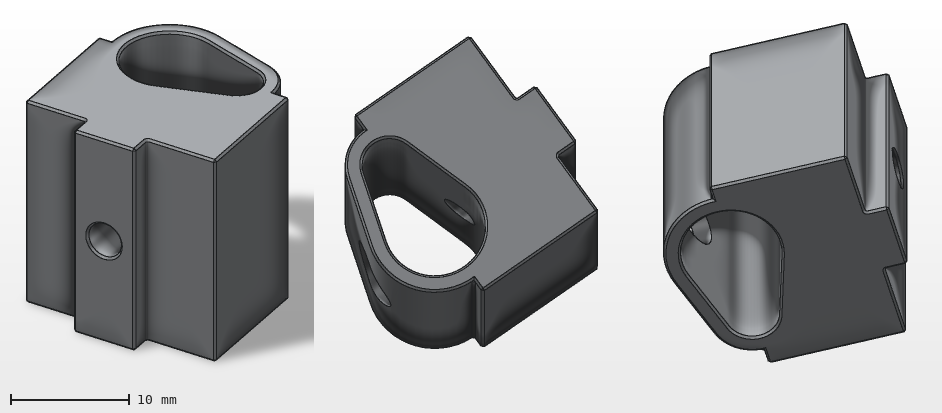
import cadquery as cq
import math

width = 18.75
height = 20.0
block_front = 2.0
block_back = 14.05
edge_chamfer = 0.2
corner_size = 0.2

ridge_left = 5.95
ridge_width = 6.05
ridge_center = ridge_left + ridge_width / 2

large_center = 6.95
large_radius = 5.72
small_center = 13.5
small_radius = 3.75
wall = 1.45

screw_diameter = 3.2
access_diameter = 6.0
axis_lean = 1.3


def teardrop(large_r, small_r, length):
    """Teardrop prism centred on Z = 0, with its arcs centred on the block's back face."""
    angle = math.asin((large_r - small_r) / (small_center - large_center))

    def on_arc(center, radius, sign):
        return (center + radius * math.sin(angle), block_back + sign * radius * math.cos(angle))

    return (
        cq.Workplane("XY", origin=(0, 0, -length / 2))
        .moveTo(*on_arc(large_center, large_r, 1))
        .threePointArc((large_center - large_r, block_back), on_arc(large_center, large_r, -1))
        .lineTo(*on_arc(small_center, small_r, -1))
        .threePointArc((small_center + small_r, block_back), on_arc(small_center, small_r, 1))
        .close()
        .extrude(length)
    )


def box(left, front, box_width, depth):
    """Full-height box with its front left edge at (left, front)."""
    return cq.Workplane("XY", origin=(left, front, 0)).box(
        box_width, depth, height, centered=(False, False, True)
    )


def hole_tool(diameter, start, end):
    """Cylinder on the leaning hole axis, between two distances from the ridge face."""
    lean = math.radians(axis_lean)
    direction = cq.Vector(-math.sin(lean), math.cos(lean), 0)
    base = cq.Vector(ridge_center, 0, 0) + direction * start
    return cq.Workplane(cq.Solid.makeCylinder(diameter / 2, end - start, base, direction))


def corner_edges(solid, left, right, depth):
    """The two upright edges standing at X = left and X = right, at Y = depth."""
    tolerance = 0.002
    return [
        edge
        for edge in solid.edges("|Z").vals()
        if abs(edge.Center().y - depth) < tolerance
        and min(abs(edge.Center().x - left), abs(edge.Center().x - right)) < tolerance
    ]


def corner_wedge(tube_side, outward):
    """Upright wedge filling the corner at X = tube_side; its legs sink into the block and tube."""
    overlap = 0.1
    sunk_x = tube_side - outward * overlap
    sunk_y = block_back - overlap
    leg = corner_size + 2 * overlap
    wedge_height = height - 2 * edge_chamfer
    return (
        cq.Workplane("XY", origin=(0, 0, -wedge_height / 2))
        .polyline([(sunk_x, sunk_y), (sunk_x + outward * leg, sunk_y), (sunk_x, sunk_y + leg)])
        .close()
        .extrude(wedge_height)
    )


body = box(0, block_front, width, block_back - block_front)
body = body.union(box(ridge_left, 0, ridge_width, block_front))
body = body.union(teardrop(large_radius, small_radius, height))
body = body.cut(teardrop(large_radius - wall, small_radius - wall, height))

ridge_corners = corner_edges(body, ridge_left, ridge_left + ridge_width, block_front)
body = body.newObject(ridge_corners).fillet(corner_size)

block_corners = (
    corner_edges(body, 0, width, block_front)
    + corner_edges(body, 0, width, block_back)
    + corner_edges(body, ridge_left, ridge_left + ridge_width, 0)
)
rims = body.faces("<Z or >Z").edges().vals()
body = body.newObject(rims + block_corners).chamfer(edge_chamfer)

body = body.union(corner_wedge(large_center - large_radius, -1))
body = body.union(corner_wedge(small_center + small_radius, 1))

overrun = 1.0
body = body.cut(hole_tool(screw_diameter, -overrun, block_back))
body = body.faces("<Y").edges("%ELLIPSE").chamfer(edge_chamfer)
result = body.cut(hole_tool(access_diameter, block_back, block_back + large_radius + overrun))